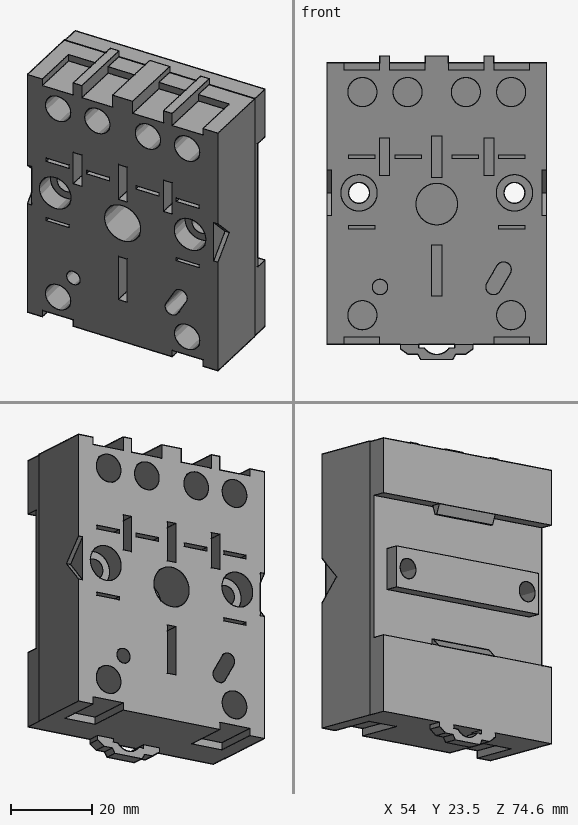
import cadquery as cq
import math


width = 54.0
depth = 23.5
full_height = 74.6
top_z = 70.9
body_height = 69.2
front_depth = 18.35
back_side_inset = 0.1
back_top_drop = 0.15

pocket_width = 8.7
pocket_outer_x = 22.75
pocket_inner_x = pocket_outer_x - pocket_width
pocket_height = 1.9
pocket_depth = 13.0
ridge_width = 2.45
ridge_x = pocket_inner_x - ridge_width / 2
center_ridge_width = 5.7

opening_depth = pocket_depth
terminal_diameter = 7.15
terminal_outer_x = 18.3
terminal_inner_x = 7.15
terminal_top_z = 62.0
terminal_bottom_z = 7.15
center_hole_diameter = 10.2
center_hole_z = 34.5
key_diameter = 3.8
key_x = 13.95
key_z = 14.1
key_slot_travel = 4.9
key_slot_angle = 60

upright_width = 2.45
side_upright_height = 9.1
center_upright_height = 10.15
upright_z = 46.1
lower_upright_height = 12.5
lower_upright_z = 18.1
blade_width = 6.5
blade_height = 1.0
lower_blade_height = 0.8
blade_outer_x = 18.4
blade_inner_x = 7.0
blade_upper_z = upright_z
blade_lower_z = 28.8

screw_x = 19.1
screw_z = 37.2
screw_diameter = 5.1
counterbore_diameter = 8.95
counterbore_depth = 5.4
notch_inset = 1.2
notch_depth = 5.6

channel_depth = 3.65
channel_bottom_z = 19.3
channel_top_z = 55.2
channel_floor_y = depth - channel_depth
pad_width = 2 * pocket_outer_x
pad_height = 10.4

clip_width = 17.9
upper_hook_drop = 2.45
upper_hook_root = 2.6
upper_hook_tip = 0.6
upper_hook_y = depth - 1.4
lower_hook_rise = 2.2
lower_hook_front_y = depth - 3.1
lower_hook_tip_front_y = depth - 2.9
lower_hook_tip_back_y = depth - 2.6
lower_hook_back_y = depth - 0.2
tab_bottom_z = top_z - full_height
tab_shoulder_z = -2.45
tab_side_z = -1.1
tab_shoulder_outer = 7.1
tab_shoulder_inner = 4.7
tab_tip = 3.95
tab_notch = 4.4
tab_notch_z = -0.9
tab_arc = 3.05


def block(x, z, size_x, size_z, y_start, y_length):
    """Box centred on (x, z), running back from y_start."""
    return cq.Workplane("XY").box(size_x, y_length, size_z).translate((x, y_start + y_length / 2, z))


def rod(x, z, diameter, length):
    """Cylinder centred on (x, z), running back from the front face."""
    return cq.Workplane("XZ").center(x, z).circle(diameter / 2).extrude(-length)


def make_body():
    front = block(0, body_height / 2, width, body_height, 0, front_depth)
    back_width = width - 2 * back_side_inset
    back_height = body_height - back_top_drop
    back = block(0, back_height / 2, back_width, back_height, front_depth, depth - front_depth)
    return front.union(back)


def add_ridges(body):
    ridge_height = top_z - body_height + pocket_height
    middle_z = top_z - ridge_height / 2
    for x, size in ((-ridge_x, ridge_width), (0, center_ridge_width), (ridge_x, ridge_width)):
        body = body.union(block(x, middle_z, size, ridge_height, 0, front_depth))
    return body


def cut_pockets(body):
    outer_x = pocket_outer_x - pocket_width / 2
    inner_left = center_ridge_width / 2
    inner_right = ridge_x - ridge_width / 2
    inner_x = (inner_left + inner_right) / 2
    inner_width = inner_right - inner_left
    top_pocket_z = body_height - pocket_height / 2
    for side in (-1, 1):
        for z in (top_pocket_z, pocket_height / 2):
            body = body.cut(block(side * outer_x, z, pocket_width, pocket_height, 0, pocket_depth))
        body = body.cut(block(side * inner_x, top_pocket_z, inner_width, pocket_height, 0, pocket_depth))
    return body


def cut_round_holes(body):
    for side in (-1, 1):
        for x, z in (
            (terminal_outer_x, terminal_top_z),
            (terminal_inner_x, terminal_top_z),
            (terminal_outer_x, terminal_bottom_z),
        ):
            body = body.cut(rod(side * x, z, terminal_diameter, opening_depth))
    body = body.cut(rod(0, center_hole_z, center_hole_diameter, opening_depth))
    return body.cut(rod(-key_x, key_z, key_diameter, opening_depth))


def cut_key_slot(body):
    angle = math.radians(key_slot_angle)
    middle_x = key_x + key_slot_travel / 2 * math.cos(angle)
    middle_z = key_z + key_slot_travel / 2 * math.sin(angle)
    slot = (
        cq.Workplane("XZ")
        .center(middle_x, middle_z)
        .slot2D(key_slot_travel + key_diameter, key_diameter, key_slot_angle)
        .extrude(-opening_depth)
    )
    return body.cut(slot)


def cut_blade_slots(body):
    slots = [
        (0, upright_z, upright_width, center_upright_height),
        (0, lower_upright_z, upright_width, lower_upright_height),
    ]
    for side in (-1, 1):
        slots += [
            (side * ridge_x, upright_z, upright_width, side_upright_height),
            (side * blade_outer_x, blade_upper_z, blade_width, blade_height),
            (side * blade_inner_x, blade_upper_z, blade_width, blade_height),
            (side * blade_outer_x, blade_lower_z, blade_width, lower_blade_height),
        ]
    for x, z, size_x, size_z in slots:
        body = body.cut(block(x, z, size_x, size_z, 0, opening_depth))
    return body


def cut_side_notches(body):
    notch = (
        cq.Workplane("YZ")
        .moveTo(0, screw_z - notch_depth)
        .lineTo(notch_depth, screw_z)
        .lineTo(0, screw_z + notch_depth)
        .close()
        .extrude(notch_inset)
    )
    body = body.cut(notch.translate((-width / 2, 0, 0)))
    return body.cut(notch.translate((width / 2 - notch_inset, 0, 0)))


def cut_channel(body):
    middle_z = (channel_bottom_z + channel_top_z) / 2
    channel_height = channel_top_z - channel_bottom_z
    body = body.cut(block(0, middle_z, width, channel_height, channel_floor_y, channel_depth))
    return body.union(block(0, screw_z, pad_width, pad_height, channel_floor_y, channel_depth))


def cut_screw_holes(body):
    for x in (-screw_x, screw_x):
        body = body.cut(rod(x, screw_z, screw_diameter, depth))
        body = body.cut(rod(x, screw_z, counterbore_diameter, counterbore_depth))
    return body


def add_hooks(body):
    upper_tip_z = channel_top_z - upper_hook_drop
    lower_tip_z = channel_bottom_z + lower_hook_rise
    upper = (
        cq.Workplane("YZ")
        .moveTo(upper_hook_y - upper_hook_root / 2, channel_top_z)
        .lineTo(upper_hook_y - upper_hook_tip / 2, upper_tip_z)
        .lineTo(upper_hook_y + upper_hook_tip / 2, upper_tip_z)
        .lineTo(upper_hook_y + upper_hook_root / 2, channel_top_z)
        .close()
        .extrude(clip_width / 2, both=True)
    )
    lower = (
        cq.Workplane("YZ")
        .moveTo(lower_hook_front_y, channel_bottom_z)
        .lineTo(lower_hook_tip_front_y, lower_tip_z)
        .lineTo(lower_hook_tip_back_y, lower_tip_z)
        .lineTo(lower_hook_back_y, channel_bottom_z)
        .close()
        .extrude(clip_width / 2, both=True)
    )
    return body.union(upper).union(lower)


def add_tab(body):
    tab = (
        cq.Workplane("XZ", origin=(0, channel_floor_y, 0))
        .moveTo(-clip_width / 2, 0)
        .lineTo(-clip_width / 2, tab_side_z)
        .lineTo(-tab_shoulder_outer, tab_shoulder_z)
        .lineTo(-tab_shoulder_inner, tab_shoulder_z)
        .lineTo(-tab_tip, tab_bottom_z)
        .lineTo(tab_tip, tab_bottom_z)
        .lineTo(tab_shoulder_inner, tab_shoulder_z)
        .lineTo(tab_shoulder_outer, tab_shoulder_z)
        .lineTo(clip_width / 2, tab_side_z)
        .lineTo(clip_width / 2, 0)
        .lineTo(tab_notch, 0)
        .lineTo(tab_notch, tab_notch_z)
        .lineTo(tab_arc, tab_notch_z)
        .threePointArc((0, tab_shoulder_z), (-tab_arc, tab_notch_z))
        .lineTo(-tab_notch, tab_notch_z)
        .lineTo(-tab_notch, 0)
        .close()
        .extrude(-channel_depth)
    )
    return body.union(tab)


socket = make_body()
socket = cut_pockets(socket)
socket = add_ridges(socket)
socket = cut_round_holes(socket)
socket = cut_key_slot(socket)
socket = cut_blade_slots(socket)
socket = cut_side_notches(socket)
socket = cut_channel(socket)
socket = cut_screw_holes(socket)
socket = add_hooks(socket)
result = add_tab(socket)